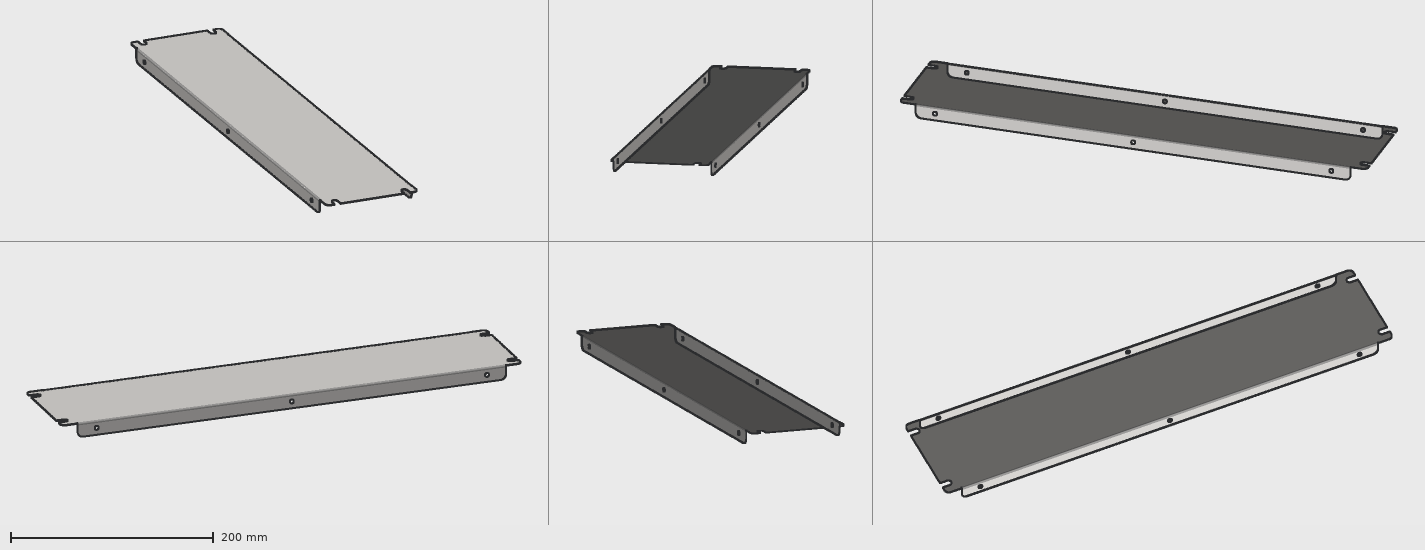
import cadquery as cq

length = 486.5
width = 99.5
height = 15.0
thickness = 1.0
bend_inner_radius = 0.5
bend_outer_radius = bend_inner_radius + thickness

edge_setback = 0.5
plate_width = width - 2 * edge_setback
plate_corner_radius = 5.0

slot_width = 6.5
slot_depth = 10.5
slot_spacing = 75.0

flange_length = 453.0
flange_corner_radius = 6.0
hole_diameter = 4.2
hole_spacing = 206.5
hole_height = 7.5


def make_plate():
    """Flat panel with rounded corners."""
    return (
        cq.Workplane("XY")
        .workplane(offset=height - thickness)
        .rect(length, plate_width)
        .extrude(thickness)
        .edges("|Z")
        .fillet(plate_corner_radius)
    )


def make_slots():
    """Four cutters, each running past a short edge of the plate."""
    slot_centers = [
        (side_x * length / 2, side_y * slot_spacing / 2)
        for side_x in (-1, 1)
        for side_y in (-1, 1)
    ]
    return (
        cq.Workplane("XY")
        .pushPoints(slot_centers)
        .slot2D(2 * slot_depth, slot_width)
        .extrude(height)
    )


def make_channel():
    """Web and two flanges joined by rounded bends."""
    outer = (
        cq.Workplane("XY")
        .box(flange_length, width, height, centered=(True, True, False))
        .edges("|X")
        .edges(">Z")
        .fillet(bend_outer_radius)
        .edges("|Y")
        .edges("<Z")
        .fillet(flange_corner_radius)
    )
    inner = (
        cq.Workplane("XY")
        .box(flange_length, width - 2 * thickness, height - thickness, centered=(True, True, False))
        .edges("|X")
        .edges(">Z")
        .fillet(bend_inner_radius)
    )
    return outer.cut(inner)


def make_holes():
    """Three cutters that pass through both flanges."""
    hole_centers = [(i * hole_spacing, hole_height) for i in (-1, 0, 1)]
    return (
        cq.Workplane("XZ")
        .pushPoints(hole_centers)
        .circle(hole_diameter / 2)
        .extrude(width / 2, both=True)
    )


channel_span = cq.Workplane("XY").box(flange_length, width, height, centered=(True, True, False))
end_tabs = make_plate().cut(make_slots()).cut(channel_span)
channel = make_channel().cut(make_holes())

result = channel.union(end_tabs).clean()